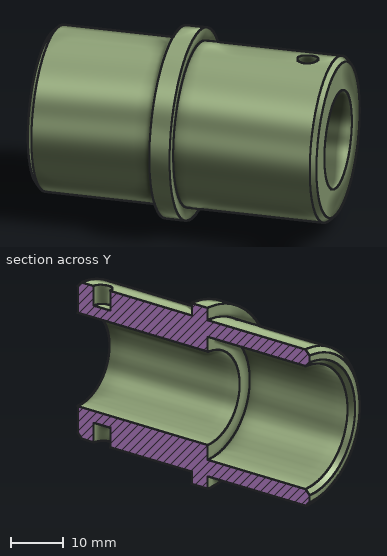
import cadquery as cq

length = 57.0
body_diameter = 32.0
collar_diameter = 37.0
collar_start = 25.0
collar_width = 4.0
wide_bore_diameter = 25.0
narrow_bore_diameter = 19.0
wide_bore_depth = collar_start
edge_chamfer = 1.0
pin_hole_diameter = 4.0
pin_hole_depth = 4.0
pin_hole_x = 51.0


def disc(start, width, diameter):
    """Solid cylinder along X, beginning at the given X position."""
    return cq.Workplane("YZ", origin=(start, 0, 0)).circle(diameter / 2).extrude(width)


def pin_hole(side):
    """Blind radial hole cutter; side is +1 for the top and -1 for the bottom."""
    outer_z = side * body_diameter / 2
    return (
        cq.Workplane("XY", origin=(pin_hole_x, 0, outer_z))
        .circle(pin_hole_diameter / 2)
        .extrude(-side * pin_hole_depth)
    )


sleeve = disc(0, length, body_diameter)
sleeve = sleeve.cut(disc(0, length, narrow_bore_diameter))
sleeve = sleeve.cut(disc(0, wide_bore_depth, wide_bore_diameter))

sleeve = sleeve.faces("<X").edges().chamfer(edge_chamfer)
far_outer_edge = cq.selectors.RadiusNthSelector(-1)
sleeve = sleeve.faces(">X").edges(far_outer_edge).chamfer(edge_chamfer)

collar = disc(collar_start, collar_width, collar_diameter)
collar = collar.cut(disc(collar_start, collar_width, wide_bore_diameter))
sleeve = sleeve.union(collar)

for side in (1, -1):
    sleeve = sleeve.cut(pin_hole(side))

result = sleeve